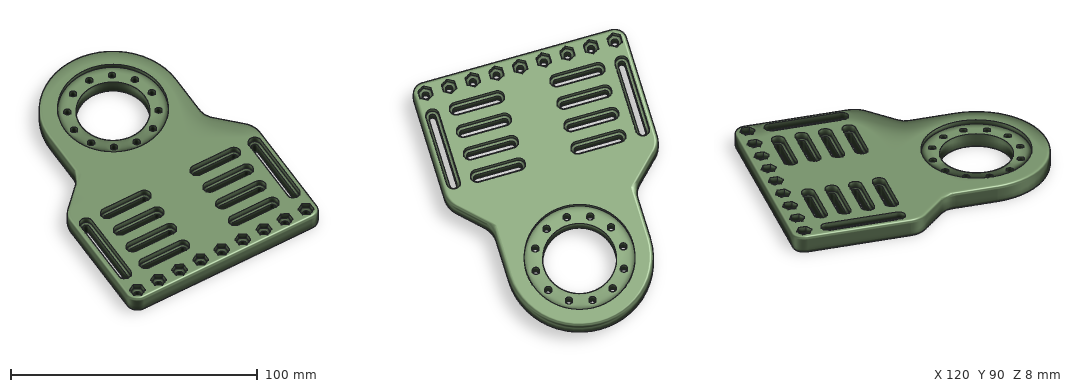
import cadquery as cq
import math

length = 120
width = 90
thickness = 8.0
edge_radius = 1.5

ring_radius = 30
tail_end_x = length - ring_radius
half_width = width / 2
flare_start_x = 22.0
flare_end_x = flare_start_x + half_width - ring_radius
flare_radius = 10.0
corner_radius = 5.0

bore_diameter = 30
seat_diameter = 45.0
seat_depth = 2.0
bolt_circle_radius = 18.5
bolt_count = 12

screw_diameter = 3.0
nut_flats = 5.5
nut_corners = nut_flats / math.cos(math.pi / 6)
nut_depth = 3.0

nut_row_count = 9
pitch = width / nut_row_count
first_slot_x = 45.0
slot_columns = 4
cross_slot_inner_y = 12.5
cross_slot_outer_y = 30
side_slot_y = 4 * pitch
nut_row_x = 85.0


def round_upright_edge(solid, x, y, radius):
    """Fillet the vertical edge of the solid that passes nearest to x, y."""
    return solid.edges(cq.NearestToPointSelector((x, y, thickness / 2))).fillet(radius)


def make_plate():
    """Keyhole-shaped plate with rounded rims and blended corners."""
    outline = (
        cq.Workplane("XY")
        .moveTo(0, ring_radius)
        .threePointArc((-ring_radius, 0), (0, -ring_radius))
        .lineTo(flare_start_x, -ring_radius)
        .lineTo(flare_end_x, -half_width)
        .lineTo(tail_end_x, -half_width)
        .lineTo(tail_end_x, half_width)
        .lineTo(flare_end_x, half_width)
        .lineTo(flare_start_x, ring_radius)
        .close()
    )
    plate = outline.extrude(thickness)
    for x, radius in ((flare_end_x, flare_radius), (tail_end_x, corner_radius)):
        for y in (-half_width, half_width):
            plate = round_upright_edge(plate, x, y, radius)
    plate = plate.faces("<Z or >Z").edges().fillet(edge_radius)
    for y in (-ring_radius, ring_radius):
        plate = round_upright_edge(plate, flare_start_x, y, flare_radius)
    return plate


def stepped_slot(center, span, angle):
    """Through slot with a wider nut channel; span is the distance between its end centres."""
    floor_z = thickness - nut_depth
    slot = cq.Workplane("XY").center(*center).slot2D(span + screw_diameter, screw_diameter, angle)
    channel = (
        cq.Workplane("XY", origin=(0, 0, floor_z))
        .center(*center)
        .slot2D(span + nut_flats, nut_flats, angle)
    )
    return slot.extrude(thickness).union(channel.extrude(nut_depth))


result = make_plate()

top_plane = cq.Workplane("XY", origin=(0, 0, thickness))
result = result.cut(top_plane.circle(seat_diameter / 2).extrude(-seat_depth))
result = result.cut(top_plane.circle(bore_diameter / 2).extrude(-thickness))
bolts = top_plane.polarArray(bolt_circle_radius, 0, 360, bolt_count).circle(screw_diameter / 2)
result = result.cut(bolts.extrude(-thickness))

last_slot_x = first_slot_x + (slot_columns - 1) * pitch
cross_span = cross_slot_outer_y - cross_slot_inner_y
cross_middle_y = (cross_slot_outer_y + cross_slot_inner_y) / 2
for side in (-1, 1):
    for column in range(slot_columns):
        slot_center = (first_slot_x + column * pitch, side * cross_middle_y)
        result = result.cut(stepped_slot(slot_center, cross_span, 90))
    side_center = ((first_slot_x + last_slot_x) / 2, side * side_slot_y)
    result = result.cut(stepped_slot(side_center, last_slot_x - first_slot_x, 0))

nut_row = top_plane.center(nut_row_x, 0).rarray(1.2, pitch, 1, nut_row_count)
result = result.cut(nut_row.circle(screw_diameter / 2).extrude(-thickness))
result = result.cut(nut_row.polygon(6, nut_corners).extrude(-nut_depth))